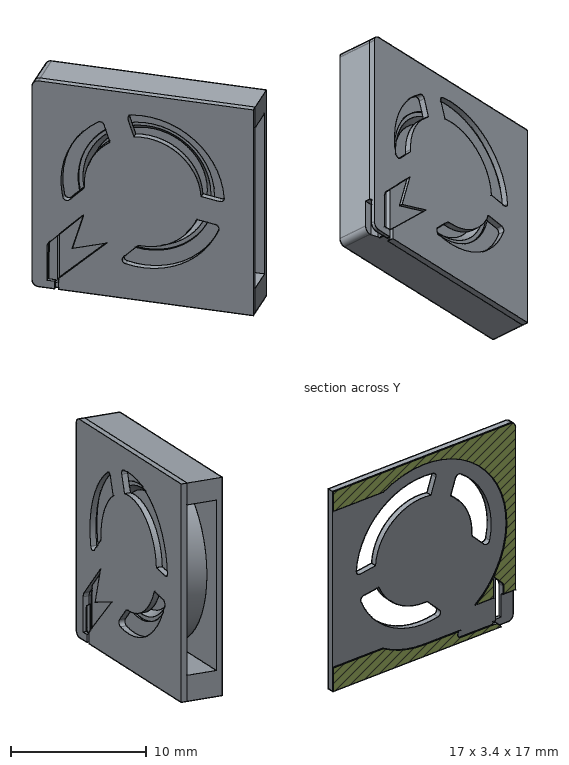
import cadquery as cq
import math


side = 17.0
depth = 3.4
cover_thickness = 0.5
corner_radius = 0.5
floor_thickness = 0.5

scroll_x = 8.5
scroll_z = 8.67
scroll_radius = 7.65
outlet_bottom = 2.04
outlet_top = 2 * scroll_z - outlet_bottom

fan_x = 8.5
fan_z = 9.01
rotor_radius = 6.97
rotor_top = 0.94
step_radius = 5.24
step_depth = 0.17
cone_outer_radius = 4.91
cone_inner_radius = 4.49
cone_depth = 0.51

inlet_inner_radius = 4.49
inlet_outer_radius = 6.27
inlet_corner_radius = 0.3
inlet_inner_corner_radius = 0.4
wide_bridge = (225.0, 2.92, 2.92)
bridges = [(108.4, 0.76, 1.2), (-8.3, 1.07, 0.9), wide_bridge]

arrow_depth = 0.27
arrow_left = 1.14
arrow_bottom = 0.63
arrow_shoulder_z = 3.59
arrow_shoulder_radius = 0.51
arrow_upper_tip = (3.95, 6.4)
arrow_notch = (3.08, 3.54)
arrow_lower_tip = (5.75, 4.37)
arrow_tail_z = 0.9
window_right = 2.04
window_bevel_run = 0.22

entry_height = 2.69
entry_corner_radius = 0.2
notch_left = 1.73
housing_entry_floor = 0.87
housing_channel_floor = 0.66
ramp_start = 0.58
ramp_end = 1.12
sill_radius = 0.76
sill_height = 0.46
channel_end_x = 5.1


def extrude(profile, start, end):
    """Extrude an XZ profile from depth `start` to depth `end`."""
    return profile.extrude(-(end - start)).translate((0, start, 0))


def sketch():
    return cq.Workplane("XZ")


def block(x_range, y_range, z_range):
    """Box spanning the given ranges."""
    size = [high - low for low, high in (x_range, y_range, z_range)]
    corner = (x_range[0], y_range[0], z_range[0])
    return cq.Workplane("XY").box(*size, centered=False).translate(corner)


def square_slab(start, end):
    """Slice of the square case, rounded at its two -X corners."""
    slab = block((0, side), (start, end), (0, side))
    return slab.edges("|Y and <X").fillet(corner_radius)


def disc(x, z, radius, start, end):
    return extrude(sketch().center(x, z).circle(radius), start, end)


def arrow(start, end):
    """Prism with the outline of the arrow, tail at the lower left."""
    outline = sketch().polyline([
        (arrow_left, arrow_bottom),
        (arrow_left, arrow_shoulder_z),
        arrow_upper_tip,
        arrow_notch,
        arrow_lower_tip,
        (window_right, arrow_tail_z),
        (window_right, arrow_bottom),
    ]).close()
    shoulder = cq.selectors.NearestToPointSelector((arrow_left, (start + end) / 2, arrow_shoulder_z))
    return extrude(outline, start, end).edges(shoulder).fillet(arrow_shoulder_radius)


def bridge(direction, right, left):
    """Bar left standing between two inlet slots, running out from the fan centre."""
    length = inlet_outer_radius + corner_radius
    bar = block((0, length), (0, cover_thickness), (-right, left))
    return bar.rotate((0, 0, 0), (0, 1, 0), -direction).translate((fan_x, 0, fan_z))


def slot_corner(radius, direction, offset):
    """Point where an edge of a bridge crosses the circle of the given radius."""
    angle = math.radians(direction) + math.asin(offset / radius)
    return (fan_x + radius * math.cos(angle), cover_thickness / 2, fan_z + radius * math.sin(angle))


def round_corner(ring, corner, radius):
    nearest = cq.selectors.NearestToPointSelector(corner)
    return ring.edges("|Y").edges(nearest).fillet(radius)


def inlet_slots():
    """Three ring segments with rounded outer corners, and rounded inner corners at the wide bridge."""
    ring = disc(fan_x, fan_z, inlet_outer_radius, 0, cover_thickness)
    ring = ring.cut(disc(fan_x, fan_z, inlet_inner_radius, 0, cover_thickness))
    for direction, right, left in bridges:
        ring = ring.cut(bridge(direction, right, left))
    for direction, right, left in bridges:
        for offset in (-right, left):
            outer_corner = slot_corner(inlet_outer_radius, direction, offset)
            ring = round_corner(ring, outer_corner, inlet_corner_radius)
    direction, right, left = wide_bridge
    for offset in (-right, left):
        inner_corner = slot_corner(inlet_inner_radius, direction, offset)
        ring = round_corner(ring, inner_corner, inlet_inner_corner_radius)
    return ring


def window_cutter():
    """Part of the arrow cut through the cover, ending at a sloped face below the arrow's floor."""
    wedge = cq.Workplane("XY").polyline([
        (0, 0),
        (window_right, 0),
        (window_right, arrow_depth),
        (window_right - window_bevel_run, cover_thickness),
        (0, cover_thickness),
    ]).close().extrude(side)
    return arrow(0, cover_thickness).intersect(wedge)


def cover_entry_cutter():
    """Groove in the cover's inner face, from the -X side to the window."""
    groove = block((0, window_right), (arrow_depth, cover_thickness), (0, entry_height))
    groove = groove.edges("|X and <Y and >Z").fillet(entry_corner_radius)
    beside_window = block((window_right - window_bevel_run, window_right), (0, depth), (arrow_bottom, side))
    return groove.cut(beside_window)


def notch_cutter():
    """Opening at the bottom edge that lets the wire slip into the window."""
    return block((notch_left, window_right), (0, cover_thickness), (0, arrow_bottom))


def make_cover():
    cover = square_slab(0, cover_thickness)
    cover = cover.cut(inlet_slots())
    cover = cover.cut(arrow(0, arrow_depth))
    cover = cover.cut(window_cutter())
    cover = cover.cut(cover_entry_cutter())
    return cover.cut(notch_cutter())


def wire_channel():
    """Channel for the wire from the -X side, past the window, into the scroll."""
    entry = cq.Workplane("XY").polyline([
        (0, cover_thickness),
        (0, housing_entry_floor),
        (ramp_start, housing_entry_floor),
        (ramp_end, housing_channel_floor),
        (window_right, housing_channel_floor),
        (window_right, cover_thickness),
    ]).close().extrude(entry_height)

    depths = (cover_thickness, housing_channel_floor)
    scroll_bottom = scroll_z - scroll_radius
    run = block((window_right, scroll_x), depths, (scroll_bottom, entry_height))
    end_radius = (scroll_bottom - sill_height) / 2
    trough = block((window_right, channel_end_x), depths, (sill_height, scroll_bottom))
    rounded_end = disc(channel_end_x, sill_height + end_radius, end_radius, *depths)

    under_window = arrow(*depths).intersect(block((0, window_right), depths, (0, side)))
    return entry.union(run).union(trough).union(rounded_end).union(under_window)


def wire_sill():
    """Rounded hump on the housing, under the cover's notch, that the wire bends over."""
    depths = (arrow_depth, housing_channel_floor)
    hump = disc(window_right, sill_height - sill_radius, sill_radius, *depths)
    return hump.intersect(block((0, window_right), depths, (0, sill_height)))


def make_housing():
    housing = square_slab(cover_thickness, depth)
    cavity_floor = depth - floor_thickness
    housing = housing.cut(disc(scroll_x, scroll_z, scroll_radius, cover_thickness, cavity_floor))
    outlet = block((scroll_x, side), (cover_thickness, cavity_floor), (outlet_bottom, outlet_top))
    return housing.cut(outlet).cut(wire_channel()).union(wire_sill())


def make_rotor():
    """Disc with a stepped, conical recess facing the inlet."""
    step = rotor_top + step_depth
    recess_floor = step + cone_depth
    back = depth - floor_thickness
    half_section = cq.Workplane("XY").polyline([
        (0, recess_floor),
        (cone_inner_radius, recess_floor),
        (cone_outer_radius, step),
        (step_radius, step),
        (step_radius, rotor_top),
        (rotor_radius, rotor_top),
        (rotor_radius, back),
        (0, back),
    ]).close()
    return half_section.revolve(360, (0, 0, 0), (0, 1, 0)).translate((fan_x, 0, fan_z))


housing = make_housing()
cover = make_cover()
rotor = make_rotor()

bodies = [body.solids().val() for body in (housing, cover, rotor)]
result = cq.Compound.makeCompound(bodies)